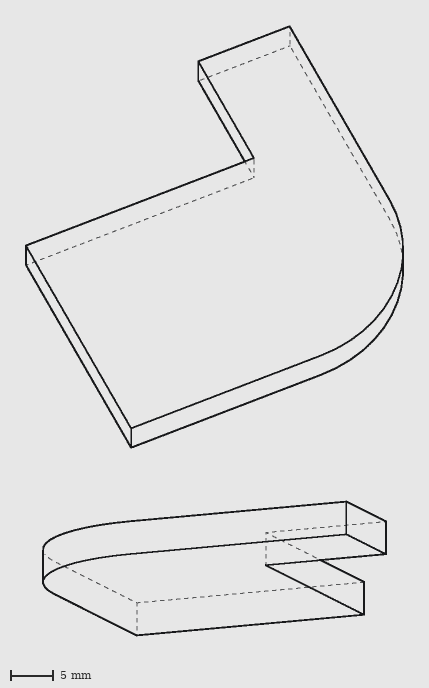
import cadquery as cq

length = 45.0
depth = 42.0
thickness = 4.0

arm_width = 12.0
leg_width = 29.45

corner_radius = 17.0

inner_corner_x = length - leg_width
inner_corner_y = depth - arm_width

plate = (
    cq.Workplane("XY")
    .moveTo(inner_corner_x, 0)
    .lineTo(length, 0)
    .lineTo(length, depth)
    .lineTo(0, depth)
    .lineTo(0, inner_corner_y)
    .lineTo(inner_corner_x, inner_corner_y)
    .close()
    .extrude(thickness)
)

result = plate.edges("|Z").edges(">(1, 1, 0)").fillet(corner_radius)